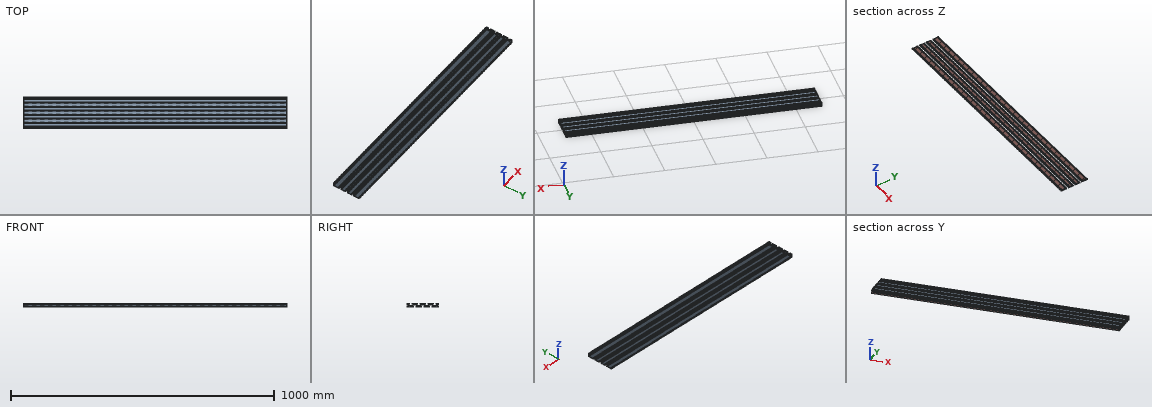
import cadquery as cq
length = 1000.0
width = 120.0
height = 15.0
corner_radius = 1.5

slot_pitch = 30.0
top_slot_count = 4
bottom_slot_count = 3
slot_opening = 9.1
slot_lip_thickness = 2.2
slot_overhang = 3.8
slot_floor_chamfer = 3.8
slot_floor_thickness = 6.2

groove_opening = 5.0
groove_lip_thickness = 1.0
groove_overhang = 2.5
groove_floor_chamfer = 1.5
groove_depth = 4.5


def t_slot_cutter(opening, lip, overhang, depth, chamfer):
    """Full-length T-slot cutter, opening at z = 0 and running down to -depth."""
    half_opening = opening / 2
    half_cavity = half_opening + overhang
    right_side = [
        (half_opening, 0),
        (half_opening, -lip),
        (half_cavity, -lip),
        (half_cavity, chamfer - depth),
        (half_cavity - chamfer, -depth),
    ]
    left_side = [(-y, z) for y, z in reversed(right_side)]
    outline = cq.Workplane("YZ").polyline(right_side + left_side).close()
    return outline.extrude(length / 2, both=True)


def row_positions(count):
    """Y positions of a centred row of slots."""
    return [(i - (count - 1) / 2) * slot_pitch for i in range(count)]


result = cq.Workplane("XY").box(length, width, height).edges("|X").fillet(corner_radius)

top_slot = t_slot_cutter(
    slot_opening,
    slot_lip_thickness,
    slot_overhang,
    height - slot_floor_thickness,
    slot_floor_chamfer,
).translate((0, 0, height / 2))
bottom_slot = top_slot.rotate((0, 0, 0), (1, 0, 0), 180)

for y in row_positions(top_slot_count):
    result = result.cut(top_slot.translate((0, y, 0)))
for y in row_positions(bottom_slot_count):
    result = result.cut(bottom_slot.translate((0, y, 0)))

groove = t_slot_cutter(
    groove_opening,
    groove_lip_thickness,
    groove_overhang,
    groove_depth,
    groove_floor_chamfer,
).translate((0, 0, width / 2))

for turn in (90, -90):
    result = result.cut(groove.rotate((0, 0, 0), (1, 0, 0), turn))